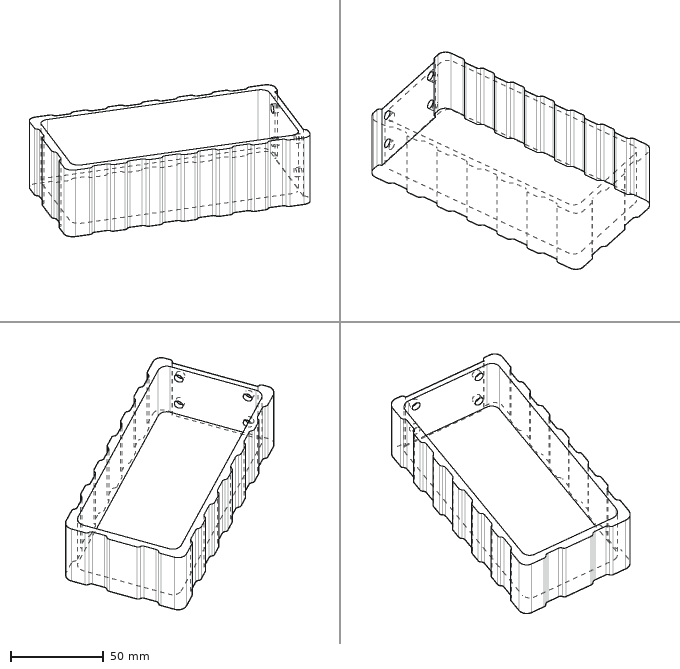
import cadquery as cq

length = 140.0
width = length / 2
height = 40.0
wall = 5.0
floor_thickness = wall
corner_radius = 5.0

groove_depth = 2.0
groove_opening = 14.0
groove_floor = 7.0
side_groove_count = 6
side_groove_pitch = length / (side_groove_count + 1)
front_groove_count = 2
front_groove_pitch = 30.0

recess_width = 50.0
recess_depth = groove_depth
recess_edge_radius = recess_depth

hole_diameter = 5.0
hole_spacing_x = 40.0
hole_spacing_z = 20.0
hole_center_z = (floor_thickness + height) / 2


def rounded_block(size_x, size_y, size_z):
    """Upright block with rounded vertical edges, standing on Z = 0."""
    block = cq.Workplane("XY").box(size_x, size_y, size_z, centered=(True, True, False))
    return block.edges("|Z").fillet(corner_radius)


def groove_cutter():
    """Groove cut into a face at Y = 0 that faces -Y; each flank is an S of two equal arcs."""
    outer = groove_opening / 2
    inner = groove_floor / 2
    middle = (outer + inner) / 2
    half_run = (outer - inner) / 2
    half_rise = groove_depth / 2
    flank_radius = (half_run**2 + half_rise**2) / (2 * half_rise)
    return (
        cq.Workplane("XY")
        .moveTo(-outer, 0)
        .radiusArc((-middle, half_rise), -flank_radius)
        .radiusArc((-inner, groove_depth), flank_radius)
        .lineTo(inner, groove_depth)
        .radiusArc((middle, half_rise), flank_radius)
        .radiusArc((outer, 0), -flank_radius)
        .close()
        .extrude(height)
    )


def groove_row(count, pitch, face_distance, turn):
    """Evenly spaced grooves on one face, turned about Z from the -Y face."""
    row = cq.Workplane("XY")
    for index in range(count):
        offset = (index - (count - 1) / 2) * pitch
        row = row.add(groove_cutter().translate((offset, -face_distance, 0)))
    return row.combine().rotate((0, 0, 0), (0, 0, 1), turn)


def recess_cutter():
    """Shallow recess on the +Y end whose mouth flares out over rounded edges."""
    face_y = length / 2
    bottom_y = face_y - recess_depth
    inner = recess_width / 2
    outer = inner + recess_edge_radius
    return (
        cq.Workplane("XY")
        .moveTo(-outer, face_y)
        .radiusArc((-inner, bottom_y), recess_edge_radius)
        .lineTo(inner, bottom_y)
        .radiusArc((outer, face_y), recess_edge_radius)
        .close()
        .extrude(height)
    )


def end_wall_holes():
    """Four round holes in a rectangle, reaching through the +Y end wall."""
    return (
        cq.Workplane("XZ", origin=(0, length / 2, hole_center_z))
        .rect(hole_spacing_x, hole_spacing_z, forConstruction=True)
        .vertices()
        .circle(hole_diameter / 2)
        .extrude(2 * wall)
    )


body = rounded_block(width, length, height)
cavity = rounded_block(width - 2 * wall, length - 2 * wall, height).translate((0, 0, floor_thickness))

result = body.cut(cavity)
result = result.cut(groove_row(front_groove_count, front_groove_pitch, length / 2, 0))
for turn in (90, -90):
    result = result.cut(groove_row(side_groove_count, side_groove_pitch, width / 2, turn))
result = result.cut(recess_cutter())
result = result.cut(end_wall_holes())